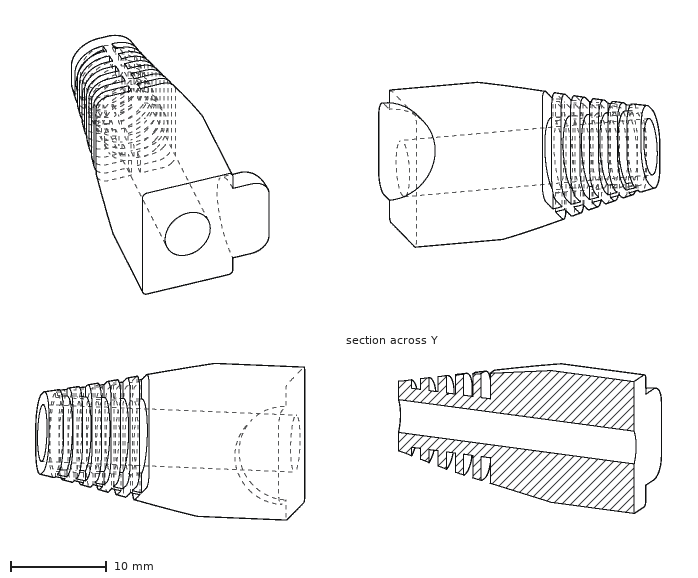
import cadquery as cq

length = 27.0
body_width = 10.0
body_height = 14.5
body_corner = 0.5
taper_length = 17.5

nose_width = 7.0
nose_height = 8.5
nose_corner = 3.0
taper_steps = 8

hole_width = 5.0
hole_height = 6.0

slot_count = 5
slot_start = 1.5
slot_width = 1.0
slot_pitch = 2 * slot_width
core_wall = 1.0
rib_width = 1.0

button_radius = 5.0
button_height = 4.02
button_rounding = 2.0


def blend(start, end, fraction):
    return start + (end - start) * fraction


def ease(fraction):
    """S-curve from 0 to 1 that is level at both ends."""
    return fraction**2 * (3 - 2 * fraction)


def cross_plane(x):
    """Plane across the part at x, with local x along Y and local y along Z."""
    return cq.Workplane("YZ", origin=(x, 0, 0))


def oval_bar(x, bar_length, width, height):
    return cross_plane(x).ellipse(width / 2, height / 2).extrude(bar_length)


def taper_section(fraction):
    """Rounded rectangle: sides grow evenly, corner radius follows an S-curve."""
    section = cq.Sketch().rect(
        blend(nose_width, body_width, fraction),
        blend(nose_height, body_height, fraction),
    )
    corner = blend(nose_corner, body_corner, ease(fraction))
    section = section.vertices().fillet(corner)
    return section.moved(cq.Location(cq.Vector(0, 0, fraction * taper_length)))


def make_taper():
    sections = [taper_section(step / taper_steps) for step in range(taper_steps + 1)]
    return cross_plane(0).placeSketch(*sections).loft()


def make_body():
    body = cross_plane(taper_length).rect(body_width, body_height).extrude(length - taper_length)
    return body.edges("|X").fillet(body_corner)


def make_slot(x):
    ring = cross_plane(x).rect(body_width, body_height).extrude(slot_width)
    core = oval_bar(x, slot_width, hole_width + 2 * core_wall, hole_height + 2 * core_wall)
    ribs = cross_plane(x).rect(rib_width, body_height).extrude(slot_width)
    return ring.cut(core).cut(ribs)


def make_button():
    top = body_width / 2 + button_height
    button = cq.Workplane("XZ", origin=(length, 0, 0)).circle(button_radius).extrude(-top)
    button = button.faces(">Y").edges().fillet(button_rounding)
    beyond_end = cq.Workplane("XY").box(
        button_radius, 2 * top, 2 * button_radius, centered=(False, True, True)
    )
    return button.cut(beyond_end.translate((length, 0, 0)))


result = make_taper().union(make_body()).union(make_button())
for slot in range(slot_count):
    result = result.cut(make_slot(slot_start + slot * slot_pitch))
result = result.cut(oval_bar(0, length, hole_width, hole_height))